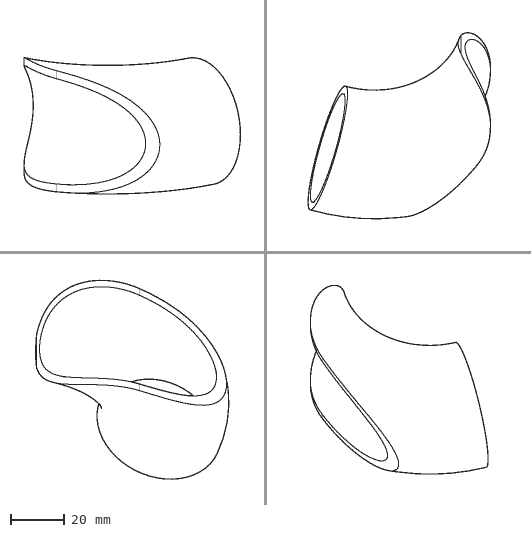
import cadquery as cq
import math

outer_reach = 81.15
pipe_diameter = 48.3
wall = 3.0
bend_angle = 90.0
flat_end_y = -34.1
blend_x = 35.1

pipe_radius = pipe_diameter / 2
bore_radius = pipe_radius - wall
bend_radius = outer_reach - pipe_radius


def make_elbow():
    """Pipe section in the y = 0 plane, turned about Z down to the x = 0 plane."""
    section = cq.Workplane("XZ").center(bend_radius, 0).circle(pipe_radius).circle(bore_radius)
    return section.revolve(bend_angle, (-bend_radius, 0.8, 0), (-bend_radius, 0, 0))


saddle_span = 2 * bend_radius


def saddle_y(x):
    return -(saddle_span**2 - x**2) / (2 * saddle_span)


def saddle_slope(x):
    return x / saddle_span


def make_trim():
    """Prism along Z that keeps everything above the lip arc and the saddle parabola."""
    blend = (blend_x, saddle_y(blend_x))
    slope = saddle_slope(blend_x)

    slope_length = math.hypot(1, slope)
    normal_x = -slope / slope_length
    normal_y = 1 / slope_length
    chord_x = -blend[0]
    chord_y = flat_end_y - blend[1]
    lip_radius = (chord_x**2 + chord_y**2) / (2 * (chord_x * normal_x + chord_y * normal_y))
    lip_centre_x = blend[0] + lip_radius * normal_x
    lip_centre_y = blend[1] + lip_radius * normal_y
    lip_bottom = (lip_centre_x, lip_centre_y - lip_radius)

    saddle_end = (saddle_span, 0)
    half_run = (saddle_end[0] - blend[0]) / 2
    control = (blend[0] + half_run, blend[1] + slope * half_run)

    return (
        cq.Workplane("XY", origin=(0, 0, -pipe_diameter))
        .moveTo(0, 0)
        .lineTo(0, flat_end_y)
        .threePointArc(lip_bottom, blend)
        .bezier([blend, control, saddle_end])
        .close()
        .extrude(2 * pipe_diameter)
    )


result = make_elbow().intersect(make_trim())